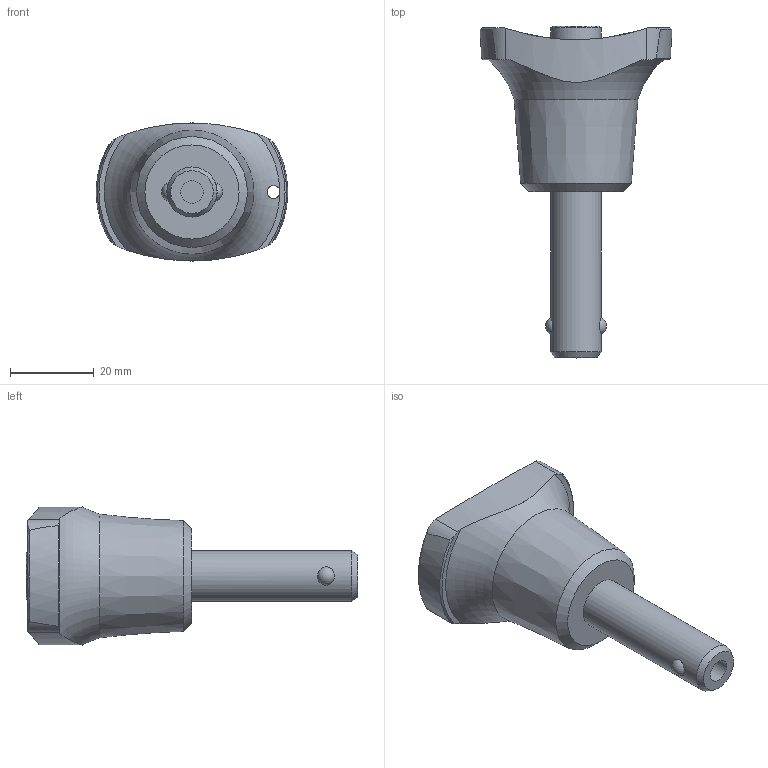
import cadquery as cq
import math


shank_diameter = 12.0
shank_length = 39.8
tip_chamfer_length = 1.5
tip_chamfer_depth = 0.9
tip_bore_diameter = 5.5
tip_bore_depth = 10.0

ball_diameter = 4.5
ball_reach = 7.3
ball_distance_from_tip = 7.65

button_top = 39.6
button_chamfer = 0.4

nose_radius = 13.25
nose_chamfer = 2.0
neck_radius = 14.8
neck_height = 22.0
bell_mid_radius = 16.5
bell_mid_height = 26.1
bell_radius = 21.0
wing_bottom = 31.5
wing_bottom_radius = 22.66
wing_top = 39.2
wing_top_radius = 22.95
rim_chamfer = 0.4

grip_half_width = 16.5
flank_radius = 48.5
flank_half_length = 16.9
corner_radius = 7.0
corner_sweep = math.radians(38.0)

hollow_half_length = 17.4
hollow_floor = 36.3
hollow_overrun = 1.0

lanyard_hole_diameter = 3.1
lanyard_hole_offset = 19.5


def make_turned_grip():
    """Nose cone, flared bell and wing rim, turned about the pin axis."""
    return (
        cq.Workplane("XY")
        .moveTo(0, 0)
        .lineTo(nose_radius - nose_chamfer, 0)
        .lineTo(nose_radius, nose_chamfer)
        .lineTo(neck_radius, neck_height)
        .threePointArc((bell_mid_radius, bell_mid_height), (bell_radius, wing_bottom))
        .lineTo(wing_bottom_radius - rim_chamfer, wing_bottom)
        .lineTo(wing_bottom_radius, wing_bottom + rim_chamfer)
        .lineTo(wing_top_radius, wing_top - rim_chamfer)
        .lineTo(wing_top_radius - rim_chamfer, wing_top)
        .lineTo(0, wing_top)
        .close()
        .revolve(360, (0, 0, 0), (0, 1, 0))
    )


def make_grip_outline():
    """Prism with two bowed flanks and four rounded corners; its ends reach past the wing rim."""
    flank_center_z = grip_half_width - flank_radius
    flank_end_angle = math.acos(flank_half_length / flank_radius)
    corner_center_x = (flank_radius - corner_radius) * math.cos(flank_end_angle)
    corner_center_z = flank_center_z + (flank_radius - corner_radius) * math.sin(flank_end_angle)

    def corner_point(sweep):
        angle = flank_end_angle - sweep
        x = corner_center_x + corner_radius * math.cos(angle)
        z = corner_center_z + corner_radius * math.sin(angle)
        return x, z

    flank_x, flank_z = corner_point(0)
    mid_x, mid_z = corner_point(corner_sweep / 2)
    end_x, end_z = corner_point(corner_sweep)
    apex_x = end_x + end_z * math.tan(flank_end_angle - corner_sweep)

    return (
        cq.Workplane("XZ")
        .moveTo(-flank_x, flank_z)
        .threePointArc((0, grip_half_width), (flank_x, flank_z))
        .threePointArc((mid_x, mid_z), (end_x, end_z))
        .lineTo(apex_x, 0)
        .lineTo(end_x, -end_z)
        .threePointArc((mid_x, -mid_z), (flank_x, -flank_z))
        .threePointArc((0, -grip_half_width), (-flank_x, -flank_z))
        .threePointArc((-mid_x, -mid_z), (-end_x, -end_z))
        .lineTo(-apex_x, 0)
        .lineTo(-end_x, end_z)
        .threePointArc((-mid_x, mid_z), (-flank_x, flank_z))
        .close()
        .extrude(-wing_top)
    )


def make_thumb_hollow():
    """Cylindrical segment along Z that dishes the top of the grip."""
    return (
        cq.Workplane("XY")
        .moveTo(-hollow_half_length, wing_top)
        .threePointArc((0, hollow_floor), (hollow_half_length, wing_top))
        .close()
        .extrude(grip_half_width + hollow_overrun, both=True)
    )


def make_lanyard_hole():
    """Through hole parallel to the pin axis in the +X wing."""
    return (
        cq.Workplane("XZ")
        .center(lanyard_hole_offset, 0)
        .circle(lanyard_hole_diameter / 2)
        .extrude(-wing_top)
    )


def make_shank_and_button():
    """Plain pin with a bevelled, bored tip and a bevelled button at the other end."""
    shank_radius = shank_diameter / 2
    bore_radius = tip_bore_diameter / 2
    return (
        cq.Workplane("XY")
        .moveTo(0, -shank_length + tip_bore_depth)
        .lineTo(bore_radius, -shank_length + tip_bore_depth)
        .lineTo(bore_radius, -shank_length)
        .lineTo(shank_radius - tip_chamfer_depth, -shank_length)
        .lineTo(shank_radius, -shank_length + tip_chamfer_length)
        .lineTo(shank_radius, button_top - button_chamfer)
        .lineTo(shank_radius - button_chamfer, button_top)
        .lineTo(0, button_top)
        .close()
        .revolve(360, (0, 0, 0), (0, 1, 0))
    )


def make_ball(side):
    """Locking ball standing out of the shank on the given X side."""
    x = side * (ball_reach - ball_diameter / 2)
    y = -shank_length + ball_distance_from_tip
    return cq.Workplane("XY").sphere(ball_diameter / 2).translate((x, y, 0))


grip = make_turned_grip().intersect(make_grip_outline())
grip = grip.cut(make_thumb_hollow()).cut(make_lanyard_hole())

result = grip.union(make_shank_and_button())
for side in (-1, 1):
    result = result.union(make_ball(side))